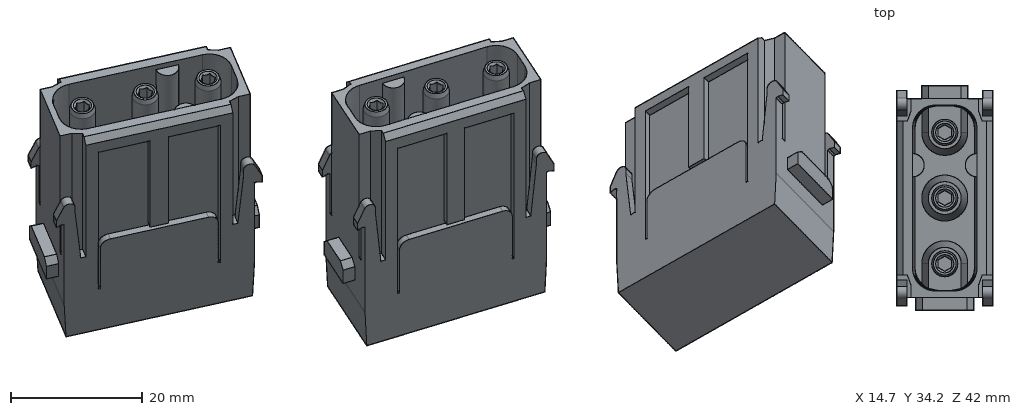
import cadquery as cq
import math

WIDTH = 14.65
LENGTH = 30.3
HEIGHT = 42.0
OVERALL_LENGTH = 34.2
HALF_WIDTH = WIDTH / 2
HALF_LENGTH = LENGTH / 2
TOP_CHAMFER = 0.95
FOOT_HEIGHT = 7.0
FOOT_TAPER = 0.3

CORNER_FLOOR = 16.6
CORNER_INNER_X = 5.15
CORNER_OUTER_X = 5.7
CORNER_WALL_Y = 11.7
CORNER_BEND_Y = 13.25

ARM_INNER_X = 5.78
ARM_ROOT_Y = 12.5
ARM_TOP_Y = 13.43
ARM_BEND_Z = 27.0
HOOK_TIP_Y = 16.4
HOOK_BARB_Z = 24.45
HOOK_ROOT_Z = 24.6
HOOK_UNDERCUT_Z = 24.75
HOOK_UNDERCUT_Y = 15.45
HOOK_SLOPE_Z = 25.85
HOOK_NOSE_RADIUS = 0.95
HOOK_TOP = 29.0
HOOK_SLOPE_ANGLE = math.radians(28)

TAB_BOTTOM = 10.55
TAB_TOP = 14.35
TAB_CHAMFER = 1.05
FRONT_TAB_WIDTH = 8.9
REAR_TAB_WIDTH = 7.06

CAVITY_WIDTH = 9.8
CAVITY_LENGTH = 28.3
CAVITY_RADIUS = 3.5
CAVITY_FLOOR_WIDTH = 9.1
CAVITY_FLOOR_LENGTH = 28.0
CAVITY_FLOOR = CORNER_FLOOR
CAVITY_DEPTH = HEIGHT - CAVITY_FLOOR

PIN_PITCH = 10.0
PIN_DIAMETER = 3.97
PIN_TIP_DIAMETER = 3.45
PIN_TIP_LENGTH = 0.85
SOCKET_MOUTH_DIAMETER = 2.76
SOCKET_ACROSS_FLATS = 2.0
SOCKET_MOUTH_DEPTH = 0.4
SOCKET_DEPTH = 4.0
BOSS_DIAMETER = 7.0
BOSS_TOP_DIAMETER = 5.0
BOSS_HEIGHT = 6.5

COLUMN_DIAMETER = 3.54
COLUMN_Y = 5.0
COLUMN_TOP = HEIGHT - 1.0

PANEL_DEPTH = 1.1
PANEL_WIDTH = 19.4
PANEL_TOP = 38.9
PANEL_BOTTOM = 8.9
RIB_WIDTH = 2.95
RIB_BOTTOM = 20.0
PLATE_WIDTH = 18.8
PLATE_TOP = 19.35
PLATE_RADIUS = 1.6


def block(x_range, y_range, z_range):
    """Axis-aligned box given by its limits along X, Y and Z."""
    size = [high - low for low, high in (x_range, y_range, z_range)]
    corner = (x_range[0], y_range[0], z_range[0])
    return cq.Workplane("XY").box(*size, centered=False).translate(corner)


def mirrored_x(shape):
    return shape.union(shape.mirror("YZ"))


def mirrored_y(shape):
    return shape.union(shape.mirror("XZ"))


def housing_block():
    """Housing with a tapered foot and chamfered long top edges."""
    foot_half_length = HALF_LENGTH - FOOT_TAPER
    body = (
        cq.Workplane("YZ")
        .polyline([
            (-foot_half_length, 0),
            (foot_half_length, 0),
            (HALF_LENGTH, FOOT_HEIGHT),
            (HALF_LENGTH, HEIGHT),
            (-HALF_LENGTH, HEIGHT),
            (-HALF_LENGTH, FOOT_HEIGHT),
        ])
        .close()
        .extrude(HALF_WIDTH, both=True)
    )
    return body.edges("|Y and >Z").chamfer(TOP_CHAMFER)


def corner_reliefs():
    """Full-height clearance around the four latch arms."""
    relief = (
        cq.Workplane("XY", origin=(0, 0, CORNER_FLOOR))
        .polyline([
            (CORNER_INNER_X, HALF_LENGTH),
            (CORNER_INNER_X, CORNER_BEND_Y),
            (CORNER_OUTER_X, CORNER_WALL_Y),
            (HALF_WIDTH, CORNER_WALL_Y),
            (HALF_WIDTH, HALF_LENGTH),
        ])
        .close()
        .extrude(HEIGHT - CORNER_FLOOR)
    )
    return mirrored_y(mirrored_x(relief))


def latch_arms():
    """Four arms, each with a hook of rounded nose and undercut barb."""
    nose_y = ARM_TOP_Y + HOOK_NOSE_RADIUS
    nose_z = HOOK_TOP - HOOK_NOSE_RADIUS
    slope_start = (
        nose_y + HOOK_NOSE_RADIUS * math.cos(HOOK_SLOPE_ANGLE),
        nose_z + HOOK_NOSE_RADIUS * math.sin(HOOK_SLOPE_ANGLE),
    )
    arm = (
        cq.Workplane("YZ", origin=(ARM_INNER_X, 0, 0))
        .moveTo(ARM_ROOT_Y, CORNER_FLOOR)
        .lineTo(ARM_TOP_Y, ARM_BEND_Z)
        .lineTo(ARM_TOP_Y, nose_z)
        .threePointArc((nose_y, HOOK_TOP), slope_start)
        .lineTo(HOOK_TIP_Y, HOOK_SLOPE_Z)
        .lineTo(HOOK_TIP_Y, HOOK_BARB_Z)
        .lineTo(HOOK_UNDERCUT_Y, HOOK_UNDERCUT_Z)
        .lineTo(HALF_LENGTH, HOOK_ROOT_Z)
        .lineTo(HALF_LENGTH, CORNER_FLOOR)
        .close()
        .extrude(HALF_WIDTH - ARM_INNER_X)
    )
    return mirrored_y(mirrored_x(arm))


def coding_tab(width):
    """Tab on the +Y end, chamfered on its two upper edges."""
    half = width / 2
    tab = block((-half, half), (HALF_LENGTH, OVERALL_LENGTH / 2), (TAB_BOTTOM, TAB_TOP))
    return tab.edges("|Y and >Z").chamfer(TAB_CHAMFER)


def cavity():
    """Rounded mating cavity, narrowing slightly towards its floor."""
    mouth = cq.Sketch().rect(CAVITY_WIDTH, CAVITY_LENGTH).vertices().fillet(CAVITY_RADIUS)
    floor = cq.Sketch().rect(CAVITY_FLOOR_WIDTH, CAVITY_FLOOR_LENGTH).vertices().fillet(CAVITY_RADIUS)
    return (
        cq.Workplane("XY", origin=(0, 0, CAVITY_FLOOR))
        .placeSketch(floor, mouth.moved(cq.Location(cq.Vector(0, 0, CAVITY_DEPTH))))
        .loft()
    )


def pin_boss(pin_y):
    """Cone around a pin's foot; an end boss also runs on to the cavity's end wall."""
    foot_radius = BOSS_DIAMETER / 2
    top_radius = BOSS_TOP_DIAMETER / 2
    boss = (
        cq.Workplane("XY", origin=(0, pin_y, CAVITY_FLOOR))
        .circle(foot_radius)
        .workplane(offset=BOSS_HEIGHT)
        .circle(top_radius)
        .loft()
    )
    if pin_y == 0:
        return boss
    wall_y = math.copysign(CAVITY_LENGTH / 2, pin_y)
    boss_top = CAVITY_FLOOR + BOSS_HEIGHT
    ridge = (
        cq.Workplane("XZ", origin=(0, pin_y, 0))
        .polyline([
            (-foot_radius, CAVITY_FLOOR),
            (foot_radius, CAVITY_FLOOR),
            (top_radius, boss_top),
            (-top_radius, boss_top),
        ])
        .close()
        .extrude(pin_y - wall_y)
    )
    return boss.union(ridge)


def contact_pin(pin_y):
    """Pin with a conical tip and a countersunk hexagon socket."""
    tip_inset = (PIN_DIAMETER - PIN_TIP_DIAMETER) / 2
    pin = (
        cq.Workplane("XY", origin=(0, pin_y, CAVITY_FLOOR))
        .circle(PIN_DIAMETER / 2)
        .extrude(CAVITY_DEPTH)
        .faces(">Z")
        .chamfer(PIN_TIP_LENGTH, tip_inset)
    )
    across_corners = SOCKET_ACROSS_FLATS / math.cos(math.pi / 6)
    top = cq.Workplane("XY", origin=(0, pin_y, HEIGHT))
    socket = (
        top.transformed(rotate=(0, 0, 90))
        .polygon(6, across_corners)
        .extrude(-SOCKET_DEPTH)
    )
    mouth = (
        top.circle(SOCKET_MOUTH_DIAMETER / 2)
        .workplane(offset=-SOCKET_MOUTH_DEPTH)
        .circle(SOCKET_ACROSS_FLATS / 2)
        .loft()
    )
    return pin.cut(socket).cut(mouth)


def wall_columns():
    """Half-round columns facing each other on the long cavity walls."""
    column = (
        cq.Workplane("XY", origin=(CAVITY_WIDTH / 2, COLUMN_Y, CAVITY_FLOOR))
        .circle(COLUMN_DIAMETER / 2)
        .extrude(COLUMN_TOP - CAVITY_FLOOR)
    )
    beyond_wall = block(
        (HALF_WIDTH - PANEL_DEPTH, WIDTH),
        (-HALF_LENGTH, HALF_LENGTH),
        (0, HEIGHT),
    )
    return mirrored_x(column.cut(beyond_wall))


def side_panels():
    """Recess on each broad side, leaving a hanging rib and a round-cornered plate flush."""
    depth_range = (HALF_WIDTH - PANEL_DEPTH, HALF_WIDTH)
    recess = block(depth_range, (-PANEL_WIDTH / 2, PANEL_WIDTH / 2), (PANEL_BOTTOM, PANEL_TOP))
    rib = block(depth_range, (-RIB_WIDTH / 2, RIB_WIDTH / 2), (RIB_BOTTOM, PANEL_TOP))
    plate = block(depth_range, (-PLATE_WIDTH / 2, PLATE_WIDTH / 2), (PANEL_BOTTOM, PLATE_TOP))
    plate = plate.edges("|X and >Z").fillet(PLATE_RADIUS)
    return mirrored_x(recess.cut(rib).cut(plate))


result = housing_block().cut(corner_reliefs()).cut(cavity()).cut(side_panels())
result = result.union(latch_arms())
result = result.union(coding_tab(REAR_TAB_WIDTH))
result = result.union(coding_tab(FRONT_TAB_WIDTH).mirror("XZ"))
result = result.union(wall_columns())
for pin_position in (-PIN_PITCH, 0, PIN_PITCH):
    result = result.union(pin_boss(pin_position)).union(contact_pin(pin_position))